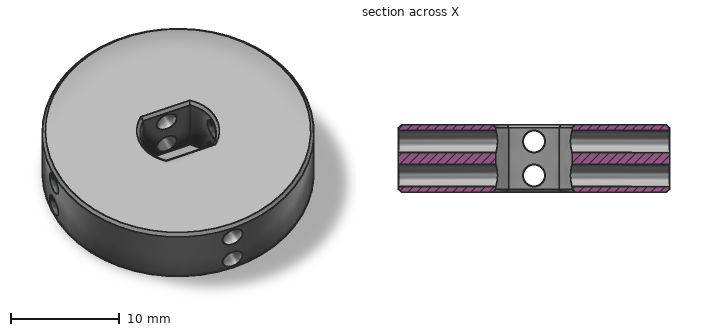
import cadquery as cq

disc_diameter = 25.0
disc_height = 6.25

bore_diameter = 7.0
bore_flat_width = 5.2

end_chamfer = 0.3

cross_hole_diameter = 2.0
cross_hole_levels = (disc_height / 4, disc_height * 3 / 4)


def make_disc():
    """Plain round disc standing on Z = 0."""
    return cq.Workplane("XY").circle(disc_diameter / 2).extrude(disc_height)


def make_bore():
    """Cylinder of the disc height with two flats facing -X and +X."""
    cylinder = cq.Workplane("XY").circle(bore_diameter / 2).extrude(disc_height)
    slab = cq.Workplane("XY").rect(bore_flat_width, bore_diameter).extrude(disc_height)
    return cylinder.intersect(slab)


def chamfer_ends(body):
    """Chamfer the outer rim and the bore mouth of both end faces."""
    return body.faces("<Z or >Z").edges().chamfer(end_chamfer)


def drill_cross_holes(body):
    """Drill straight through the disc along X and along Y at each level."""
    for plane in ("YZ", "XZ"):
        for level in cross_hole_levels:
            drill = (
                cq.Workplane(plane)
                .center(0, level)
                .circle(cross_hole_diameter / 2)
                .extrude(disc_diameter / 2, both=True)
            )
            body = body.cut(drill)
    return body


bored_disc = make_disc().cut(make_bore())
result = drill_cross_holes(chamfer_ends(bored_disc))